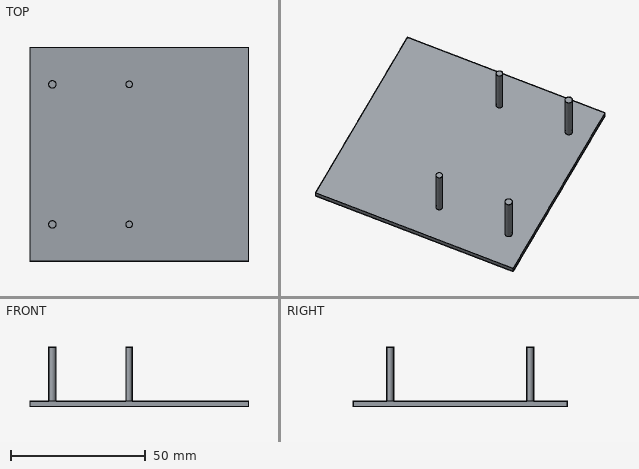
import cadquery as cq

plate_length = 81.3
plate_width = 79.5
plate_thickness = 2.0

total_height = 22.0
pin_height = total_height - plate_thickness
pin_row_spacing = 52.05
left_column_inset = 8.4
pin_column_spacing = 28.55
left_pin_diameter = 2.8
right_pin_diameter = 2.4

left_column_x = -plate_length / 2 + left_column_inset
right_column_x = left_column_x + pin_column_spacing


def make_plate():
    """Flat plate centred on the origin, resting on Z = 0."""
    return cq.Workplane("XY").box(
        plate_length, plate_width, plate_thickness, centered=(True, True, False)
    )


def add_pin_column(body, column_x, diameter):
    """Add a front and a back pin at the given X position."""
    pin_centres = [(column_x, side * pin_row_spacing / 2) for side in (-1, 1)]
    pins = (
        cq.Workplane("XY", origin=(0, 0, plate_thickness))
        .pushPoints(pin_centres)
        .circle(diameter / 2)
        .extrude(pin_height)
    )
    return body.union(pins)


result = make_plate()
result = add_pin_column(result, left_column_x, left_pin_diameter)
result = add_pin_column(result, right_column_x, right_pin_diameter)